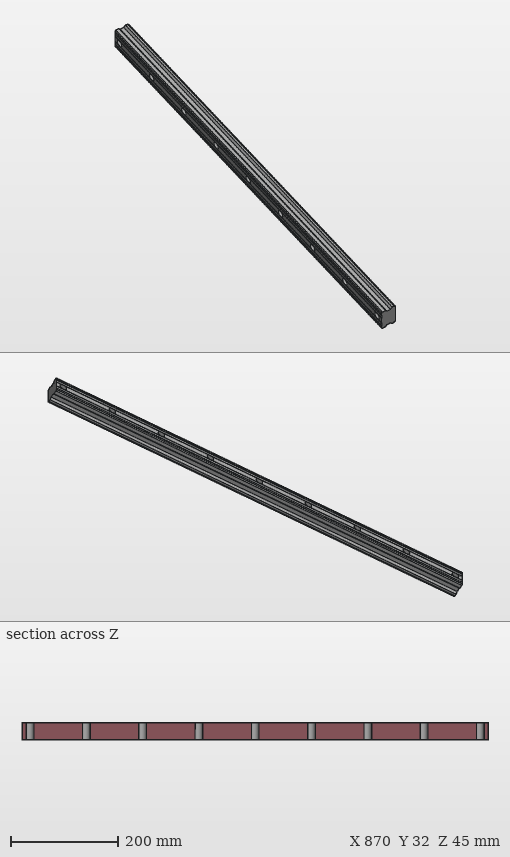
import cadquery as cq

rail_length = 870.0
rail_height = 32.0
rail_width = 45.0

hole_diameter = 14.0
hole_pitch = 105.0
hole_count = 9

groove_depth = 3.5
groove_mouth_upper_y = 8.25
groove_mouth_lower_y = -7.0
groove_floor_upper_y = 4.0
groove_floor_lower_y = -4.0

channel_depth = 0.5
channel_width = 7.5
central_land_width = 14.0

upper_chamfer_along_y = 3.5
upper_chamfer_along_z = 3.0
lower_chamfer = 2.0

half_height = rail_height / 2
half_width = rail_width / 2
groove_floor_z = half_width - groove_depth
channel_floor_y = -half_height + channel_depth
channel_inner_z = central_land_width / 2
channel_outer_z = channel_inner_z + channel_width


def half_section_points():
    """(Y, Z) corners of the +Z half of the section, from the +Y face round to the -Y face."""
    return [
        (half_height, half_width - upper_chamfer_along_z),
        (half_height - upper_chamfer_along_y, half_width),
        (groove_mouth_upper_y, half_width),
        (groove_floor_upper_y, groove_floor_z),
        (groove_floor_lower_y, groove_floor_z),
        (groove_mouth_lower_y, half_width),
        (-half_height + lower_chamfer, half_width),
        (-half_height, half_width - lower_chamfer),
        (-half_height, channel_outer_z),
        (channel_floor_y, channel_outer_z),
        (channel_floor_y, channel_inner_z),
        (-half_height, channel_inner_z),
    ]


def make_rail():
    """Extrude the section, symmetric about Z = 0, with the length centred on X = 0."""
    positive_half = half_section_points()
    negative_half = [(y, -z) for y, z in reversed(positive_half)]
    section = cq.Workplane("YZ").polyline(positive_half + negative_half).close()
    return section.extrude(rail_length / 2, both=True)


def make_mounting_holes():
    """Row of cylinders spanning the rail height along Y, evenly spaced about X = 0."""
    return (
        cq.Workplane("XZ")
        .rarray(hole_pitch, 1, hole_count, 1)
        .circle(hole_diameter / 2)
        .extrude(half_height, both=True)
    )


result = make_rail().cut(make_mounting_holes())